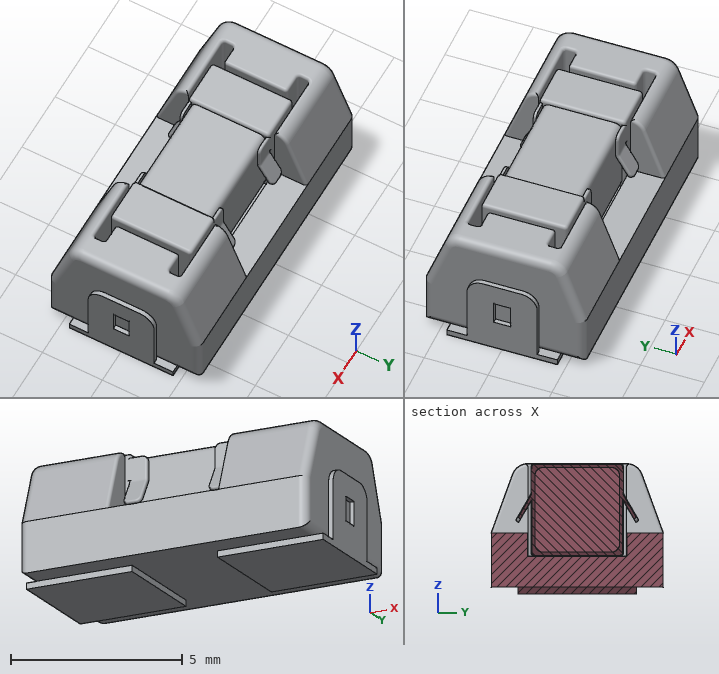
import cadquery as cq
import math

TOTAL_LENGTH = 9.73
TOTAL_HEIGHT = 3.81

UPRIGHT_THICKNESS = 0.15
FOOT_THICKNESS = 0.19
FOOT_LENGTH = 3.46
FOOT_WIDTH = 3.46
UPRIGHT_WIDTH = 2.2
UPRIGHT_TOP = 2.48
UPRIGHT_CORNER_RADIUS = 0.5
WINDOW_WIDTH = 0.53
WINDOW_BOTTOM = 1.03
WINDOW_TOP = 1.79

HOUSING_WIDTH = 5.03
SADDLE_FLOOR = 1.79
SADDLE_LENGTH = 3.58
SLOPE_ANGLE = 20.0
SHOULDER_RADIUS = 0.5
END_RADIUS = 0.26
RIM_RADIUS = 0.1
HOUSING_LENGTH = TOTAL_LENGTH - 2 * UPRIGHT_THICKNESS

CHANNEL_WIDTH = 2.88
CHANNEL_LENGTH = 6.48
NOTCH_REACH = 0.67
TONGUE_WIDTH = 2.12
CHANNEL_CORNER_RADIUS = 0.1

CAP_SIZE = 2.705
CAP_OUTER_END = 3.07
CAP_INNER_END = 1.625
CAP_WALL = 0.11
BODY_RADIUS = 0.24

FINGER_OUTER_X = 1.69
FINGER_INNER_X = 1.1
FINGER_ROOT = 0.19
FINGER_TOP = 3.69
FINGER_BEND_Z = 2.93
FINGER_FLARE_ANGLE = 30.0
FINGER_FLARE_LENGTH = 0.905
FINGER_BEND_RADIUS = 0.18
FINGER_CORNER_RADIUS = 0.185
FINGER_EDGE_RADIUS = 0.06

CUTTER_MARGIN = 0.1
TOLERANCE = 0.001

HOUSING_END = HOUSING_LENGTH / 2
OPENING_TOP = TOTAL_HEIGHT + CUTTER_MARGIN
CHANNEL_FLOOR = TOTAL_HEIGHT - CAP_SIZE
FUSE_AXIS_Z = TOTAL_HEIGHT - CAP_SIZE / 2
BODY_SIZE = CAP_SIZE - 2 * CAP_WALL
BODY_LENGTH = 2 * (CAP_OUTER_END - CAP_WALL)


def block(x_min, x_max, width, z_min, z_max):
    """Box between two X and two Z planes, centred on Y."""
    box = cq.Workplane("XY").box(x_max - x_min, width, z_max - z_min, centered=(False, True, False))
    return box.translate((x_min, 0, z_min))


def other_end(part):
    return part.mirror("YZ")


def housing_blank():
    half_width = HOUSING_WIDTH / 2
    lean = (TOTAL_HEIGHT - SADDLE_FLOOR) * math.tan(math.radians(SLOPE_ANGLE))
    half_top = half_width - lean
    section = [
        (-half_width, FOOT_THICKNESS),
        (half_width, FOOT_THICKNESS),
        (half_width, SADDLE_FLOOR),
        (half_top, TOTAL_HEIGHT),
        (-half_top, TOTAL_HEIGHT),
        (-half_width, SADDLE_FLOOR),
    ]
    blank = cq.Workplane("YZ").polyline(section).close().extrude(HOUSING_END, both=True)
    blank = blank.edges("|X and >Z").fillet(SHOULDER_RADIUS)
    return blank.faces("<X or >X").edges().fillet(END_RADIUS)


def channel():
    notched = block(-CHANNEL_LENGTH / 2 - NOTCH_REACH, CHANNEL_LENGTH / 2 + NOTCH_REACH,
                    CHANNEL_WIDTH, CHANNEL_FLOOR, OPENING_TOP)
    tongue = block(CHANNEL_LENGTH / 2, HOUSING_END, TONGUE_WIDTH, CHANNEL_FLOOR, OPENING_TOP)
    notched = notched.cut(tongue).cut(other_end(tongue))
    return notched.edges("|Z").fillet(CHANNEL_CORNER_RADIUS)


def make_housing():
    blank = housing_blank()
    saddle = block(-SADDLE_LENGTH / 2, SADDLE_LENGTH / 2, 2 * HOUSING_WIDTH,
                   SADDLE_FLOOR, OPENING_TOP)
    opening = saddle.union(channel())
    housing = blank.cut(opening)

    skin = blank.shells().val()
    opening_walls = opening.shells().val()
    rim = []
    for edge in housing.edges().vals():
        middle = edge.positionAt(0.5)
        point = cq.Vertex.makeVertex(*middle.toTuple())
        on_both = max(skin.distance(point), opening_walls.distance(point)) < TOLERANCE
        if on_both and middle.z > SADDLE_FLOOR + TOLERANCE:
            rim.append(edge)
    return housing.newObject(rim).fillet(RIM_RADIUS)


def make_terminal():
    left = -TOTAL_LENGTH / 2
    foot = block(left, left + FOOT_LENGTH, FOOT_WIDTH, 0, FOOT_THICKNESS)
    upright = block(left, left + UPRIGHT_THICKNESS, UPRIGHT_WIDTH, 0, UPRIGHT_TOP)
    upright = upright.edges("|X and >Z").fillet(UPRIGHT_CORNER_RADIUS)
    window = block(left, left + UPRIGHT_THICKNESS, WINDOW_WIDTH, WINDOW_BOTTOM, WINDOW_TOP)
    return foot.union(upright).cut(window)


def make_fuse_body():
    body = cq.Workplane("YZ").rect(BODY_SIZE, BODY_SIZE).extrude(BODY_LENGTH / 2, both=True)
    return body.edges("|X").fillet(BODY_RADIUS).translate((0, 0, FUSE_AXIS_Z))


def make_finger():
    """Spring finger on the +Y side of the left cap: a flat plate whose lower end flares outwards."""
    flare = math.radians(FINGER_FLARE_ANGLE)
    outer_y = CAP_SIZE / 2
    inner_y = outer_y - CAP_WALL
    tip_y = outer_y + FINGER_FLARE_LENGTH * math.sin(flare)
    tip_z = FINGER_BEND_Z - FINGER_FLARE_LENGTH * math.cos(flare)
    side_profile = [
        (outer_y, FINGER_TOP),
        (outer_y, FINGER_BEND_Z),
        (tip_y, tip_z),
        (tip_y - CAP_WALL * math.cos(flare), tip_z - CAP_WALL * math.sin(flare)),
        (inner_y, FINGER_BEND_Z - CAP_WALL * math.tan(flare / 2)),
        (inner_y, FINGER_TOP),
    ]
    root_x = -FINGER_OUTER_X - FINGER_ROOT
    finger = cq.Workplane("YZ", origin=(root_x, 0, 0)).polyline(side_profile).close()
    finger = finger.extrude(-FINGER_INNER_X - root_x)

    bend = cq.NearestToPointSelector(((root_x - FINGER_INNER_X) / 2, outer_y, FINGER_BEND_Z))
    finger = finger.edges("|X").edges(bend).fillet(FINGER_BEND_RADIUS)

    clearance_top = FINGER_BEND_Z + FINGER_BEND_RADIUS * math.tan(flare / 2)
    finger = finger.cut(block(root_x, -FINGER_OUTER_X, HOUSING_WIDTH, SADDLE_FLOOR, clearance_top))

    top_corner = cq.NearestToPointSelector((-FINGER_INNER_X, outer_y, FINGER_TOP))
    finger = finger.edges("|Y").edges(top_corner).fillet(FINGER_CORNER_RADIUS)
    for corner_x in (-FINGER_OUTER_X, -FINGER_INNER_X):
        tip_corner = cq.NearestToPointSelector((corner_x, tip_y, tip_z - CAP_WALL))
        finger = finger.edges("not |X").edges(tip_corner).fillet(FINGER_CORNER_RADIUS)

    outer_edge = cq.NearestToPointSelector((-FINGER_INNER_X, outer_y, (FINGER_TOP + FINGER_BEND_Z) / 2))
    return finger.edges("|Z").edges(outer_edge).fillet(FINGER_EDGE_RADIUS)


def make_cap():
    cap = block(-CAP_OUTER_END, -CAP_INNER_END, CAP_SIZE, CHANNEL_FLOOR, TOTAL_HEIGHT)
    cap = cap.edges().fillet(CAP_WALL)
    finger = make_finger()
    return cap.union(finger).union(finger.mirror("XZ")).cut(make_fuse_body())


def both_ends(left_part):
    """The left-hand part and its mirror image, as two separate solids."""
    return [part.solids().val() for part in (left_part, other_end(left_part))]


housing = make_housing().solids()
terminals = both_ends(make_terminal())
fuse_body = make_fuse_body().solids()
caps = both_ends(make_cap())

result = cq.Compound.makeCompound([housing.val(), *terminals, fuse_body.val(), *caps])